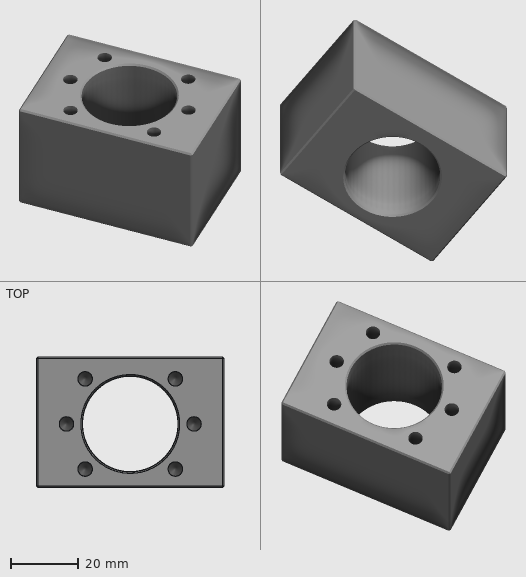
import cadquery as cq
import math

length = 56.0
width = 39.0
height = 36.0
edge_chamfer = 0.5

bore_diameter = 28.5
bore_y = -0.5

hole_diameter = 4.3
hole_circle_radius = 19.05
hole_depth = 11.2
drill_tip_angle = 118.0
hole_angles = (0, 45, 135, 180, 225, 315)


def make_block():
    """Block with its base on Z = 0 and every edge chamfered."""
    block = cq.Workplane("XY").box(length, width, height, centered=(True, True, False))
    return block.edges().chamfer(edge_chamfer)


def turn(profile):
    """Solid of revolution about Z from (radius, height) points."""
    return cq.Workplane("XZ").polyline(profile).close().revolve(360, (0, 0), (0, 1))


def make_bore():
    """Bore cutter, flared by the edge chamfer at both ends."""
    radius = bore_diameter / 2
    mouth_radius = radius + edge_chamfer
    profile = [
        (0, 0),
        (mouth_radius, 0),
        (radius, edge_chamfer),
        (radius, height - edge_chamfer),
        (mouth_radius, height),
        (0, height),
    ]
    return turn(profile).translate((0, bore_y, 0))


def make_drilled_hole(angle):
    """Cone-bottomed hole cutter at one angle on the hole circle."""
    radius = hole_diameter / 2
    tip_length = radius / math.tan(math.radians(drill_tip_angle / 2))
    floor_z = height - hole_depth
    profile = [
        (0, height),
        (radius, height),
        (radius, floor_z),
        (0, floor_z - tip_length),
    ]
    x = hole_circle_radius * math.cos(math.radians(angle))
    y = bore_y + hole_circle_radius * math.sin(math.radians(angle))
    return turn(profile).translate((x, y, 0))


result = make_block().cut(make_bore())
for hole_angle in hole_angles:
    result = result.cut(make_drilled_hole(hole_angle))